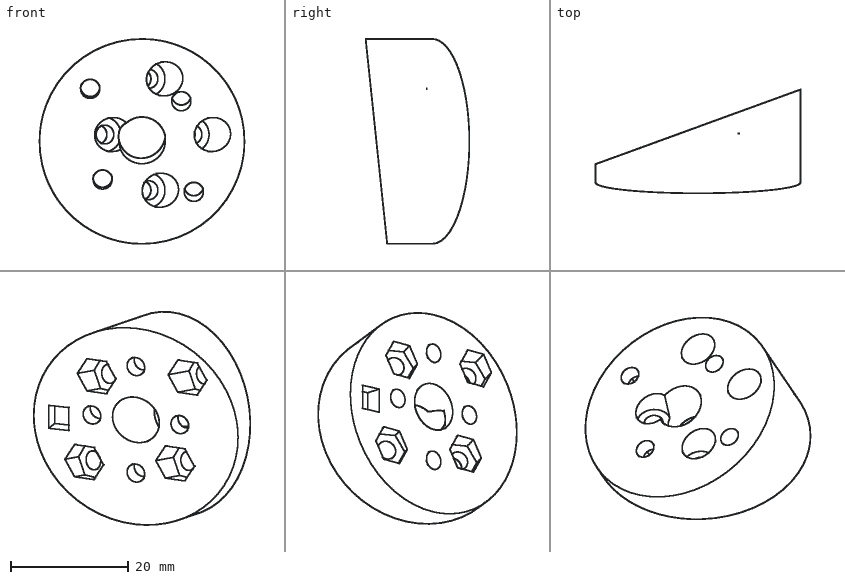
import cadquery as cq
import math

body_diameter = 35.0
thin_edge_length = 5.0
front_tilt = 6.0
back_tilt = 20.0

pattern_height = 1.17
centre_bore_diameter = 8.0
screw_hole_diameter = 3.25
short_bolt_circle = 19.0
long_bolt_circle = 25.0
nut_corner_diameter = 6.6
thin_side_grip = 3.0
thick_side_grip = 9.5

motor_hole_diameter = 3.2
motor_head_diameter = 5.8
motor_pitch_wide = 19.0
motor_pitch_narrow = 16.0
motor_grip = 3.5

pocket_offset = 14.05
pocket_length = 3.7
pocket_width = 4.1
pocket_depth = 3.0

radius = body_diameter / 2
reach = 2 * body_diameter
front_slope = math.tan(math.radians(front_tilt))
back_slope = math.tan(math.radians(back_tilt))


def front_y(z):
    """Y of the front face at height z."""
    return (radius - z) * front_slope


def back_y(x):
    """Y of the back face at position x."""
    return thin_edge_length + (x + radius) * back_slope


bore_front_z = (pattern_height - (back_y(0) - radius * front_slope) * front_slope) / (1 + front_slope**2)

front_plane = cq.Plane(
    origin=(0, front_y(bore_front_z), bore_front_z),
    xDir=(-1, 0, 0),
    normal=(0, 1, front_slope),
)
back_plane = cq.Plane(
    origin=(0, back_y(0), pattern_height),
    xDir=(-1, -back_slope, 0),
    normal=(-back_slope, 1, 0),
)


def make_body():
    thick_edge_length = back_y(radius)
    profile = [
        (-radius, 0),
        (radius, 0),
        (radius, thick_edge_length),
        (-radius, thin_edge_length),
    ]
    wedge = cq.Workplane("XY").polyline(profile).close().extrude(radius, both=True)
    cylinder = cq.Workplane("XZ").circle(radius).extrude(-thick_edge_length)
    front_waste = (
        cq.Workplane("YZ")
        .polyline([(0, radius), (0, -radius), (front_y(-radius), -radius)])
        .close()
        .extrude(radius, both=True)
    )
    return cylinder.intersect(wedge).cut(front_waste)


def cut_front_pattern(body):
    """Centre bore and four screw holes on 45 degree diagonals, each with a hexagonal nut pocket."""
    front = cq.Workplane(front_plane)
    body = body.cut(front.circle(centre_bore_diameter / 2).extrude(reach, both=True))
    short_offset = short_bolt_circle / 2 * math.sqrt(0.5)
    long_offset = long_bolt_circle / 2 * math.sqrt(0.5)
    screws = [
        (short_offset, -short_offset, thin_side_grip),
        (long_offset, long_offset, thin_side_grip),
        (-short_offset, short_offset, thick_side_grip),
        (-long_offset, -long_offset, thick_side_grip),
    ]
    for across, up, grip in screws:
        hole = front.center(across, up).circle(screw_hole_diameter / 2).extrude(reach, both=True)
        nut = front.workplane(offset=grip).center(across, up).polygon(6, nut_corner_diameter).extrude(reach)
        body = body.cut(hole).cut(nut)
    return body


def cut_motor_pattern(body):
    """Four holes square to the back face, counterbored from the front."""
    back = cq.Workplane(back_plane)
    positions = [
        (0, motor_pitch_wide / 2),
        (0, -motor_pitch_wide / 2),
        (motor_pitch_narrow / 2, 0),
        (-motor_pitch_narrow / 2, 0),
    ]
    holes = back.pushPoints(positions).circle(motor_hole_diameter / 2).extrude(reach, both=True)
    heads = (
        back.workplane(offset=-motor_grip)
        .pushPoints(positions)
        .circle(motor_head_diameter / 2)
        .extrude(-reach)
    )
    return body.cut(holes).cut(heads)


def cut_pocket(body):
    """Rectangular blind pocket near the thick edge, square to the back face and centred on Z = 0."""
    pocket = (
        cq.Workplane(back_plane)
        .center(-pocket_offset, -pattern_height)
        .rect(pocket_length, pocket_width)
        .extrude(pocket_depth, both=True)
    )
    return body.cut(pocket)


result = cut_pocket(cut_motor_pattern(cut_front_pattern(make_body())))